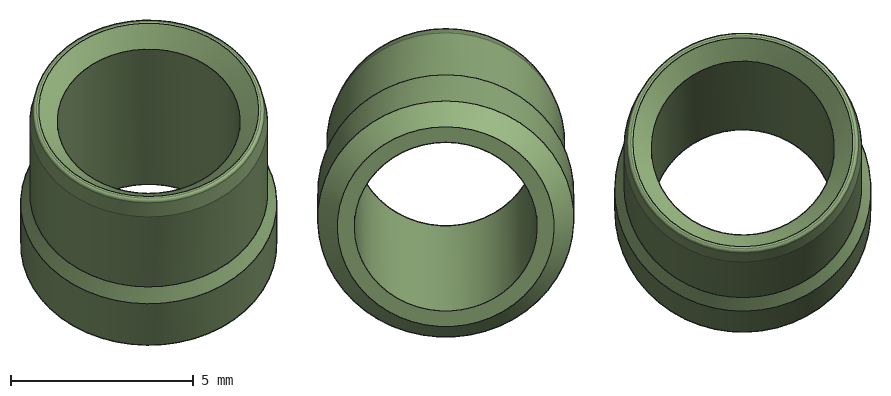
import cadquery as cq
import math

collar_radius = 7 / 2
sleeve_radius = 6.5 / 2
bore_radius = 5.0 / 2
height = 6.5

bottom_chamfer = 0.54
collar_top = 2.38
shoulder_angle = math.radians(30)
shoulder_height = (collar_radius - sleeve_radius) / math.tan(shoulder_angle)

tip_start = 5.915
tip_angle = math.radians(10)
tip_rounding = 0.1
tip_radius = sleeve_radius - (height - tip_start) * math.tan(tip_angle)

mouth_radius = 3.0
mouth_depth = mouth_radius - bore_radius

section = (
    cq.Workplane("XZ")
    .moveTo(bore_radius, 0)
    .lineTo(collar_radius - bottom_chamfer, 0)
    .lineTo(collar_radius, bottom_chamfer)
    .lineTo(collar_radius, collar_top)
    .lineTo(sleeve_radius, collar_top + shoulder_height)
    .lineTo(sleeve_radius, tip_start)
    .lineTo(tip_radius, height)
    .lineTo(mouth_radius, height)
    .lineTo(bore_radius, height - mouth_depth)
    .close()
)
ring = section.revolve(360, (0, 0, 0), (0, 1, 0))

result = ring.faces(">Z").edges(cq.selectors.RadiusNthSelector(-1)).fillet(tip_rounding)